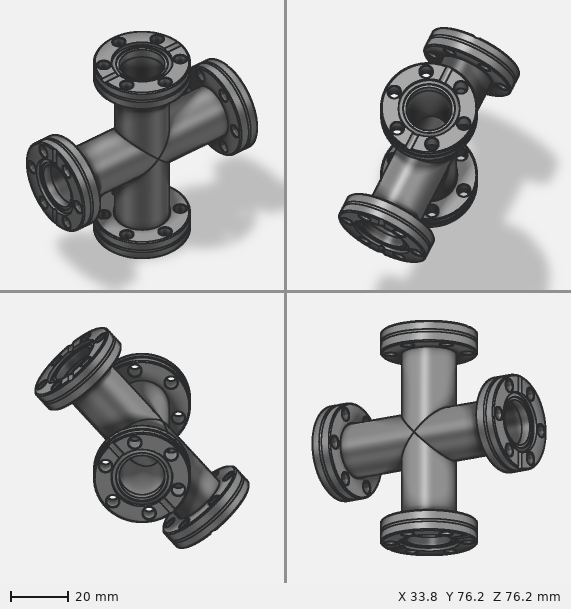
import cadquery as cq

overall_length = 76.2
face_height = overall_length / 2
bore_diameter = 16.0
tube_diameter = 19.1
fixed_tube_end_depth = 4.5
rotatable_tube_end_depth = 4.3

flange_diameter = 33.8
flange_thickness = 7.6
edge_chamfer = 0.45
rim_groove_width = 1.0
rim_groove_depth = 0.2
rim_groove_centre_depth = 3.65

bolt_count = 6
bolt_diameter = 4.4
bolt_circle_radius = 13.5
bolt_chamfer = 0.2

notch_width = 2.3
notch_depth = 0.5
notch_radius = (notch_width**2 / 4 + notch_depth**2) / (2 * notch_depth)

recess_diameter = 21.4
recess_depth = 1.3
knife_diameter = 18.3
knife_depth = 0.7
knife_root_diameter = 18.0
inner_face_depth = 1.15

insert_diameter = 21.1
ring_bore_diameter = 19.2
ring_bore_chamfer = 0.4

flange_back_height = face_height - flange_thickness
fixed_tube_end = face_height - fixed_tube_end_depth
rotatable_tube_end = face_height - rotatable_tube_end_depth


def disc(diameter, bottom, top):
    """Solid cylinder on the Z axis between two heights."""
    return cq.Workplane("XY").workplane(offset=bottom).circle(diameter / 2).extrude(top - bottom)


def revolve_about_z(profile):
    """Turn a closed (radius, height) profile on the XZ plane about the Z axis."""
    return profile.close().revolve(360, (0, 0, 0), (0, 1, 0))


def flange_blank():
    """Flange disc with chamfered edges, rim groove, bolt holes and leak-check notches."""
    blank = disc(flange_diameter, flange_back_height, face_height).edges().chamfer(edge_chamfer)
    return blank.cut(rim_groove()).cut(bolt_holes()).cut(leak_check_notch())


def rim_groove():
    """Shallow round-bottomed groove around the rim."""
    rim_radius = flange_diameter / 2
    centre = face_height - rim_groove_centre_depth
    low = centre - rim_groove_width / 2
    high = centre + rim_groove_width / 2
    profile = (
        cq.Workplane("XZ")
        .moveTo(rim_radius, low)
        .threePointArc((rim_radius - rim_groove_depth, centre), (rim_radius, high))
        .lineTo(rim_radius + rim_groove_depth, high)
        .lineTo(rim_radius + rim_groove_depth, low)
    )
    return revolve_about_z(profile)


def bolt_holes():
    """Cutter for the ring of bolt holes, flared at both ends by their chamfers."""
    radius = bolt_diameter / 2
    flared = radius + bolt_chamfer
    hole = revolve_about_z(
        cq.Workplane("XZ")
        .moveTo(0, flange_back_height)
        .lineTo(flared, flange_back_height)
        .lineTo(radius, flange_back_height + bolt_chamfer)
        .lineTo(radius, face_height - bolt_chamfer)
        .lineTo(flared, face_height)
        .lineTo(0, face_height)
    ).translate((bolt_circle_radius, 0, 0))
    holes = cq.Workplane("XY")
    for index in range(bolt_count):
        holes = holes.add(hole.rotate((0, 0, 0), (0, 0, 1), 360 * index / bolt_count))
    return holes.combine()


def leak_check_notch():
    """Round-bottomed notch along Y, right across the face."""
    axis_height = face_height - notch_depth + notch_radius
    return (
        cq.Workplane("XZ")
        .center(0, axis_height)
        .circle(notch_radius)
        .extrude(flange_diameter / 2, both=True)
    )


def recess_cutter(floor_diameter):
    """Space above the knife edge, its sloped floor ending at the given diameter."""
    profile = (
        cq.Workplane("XZ")
        .moveTo(0, face_height - inner_face_depth)
        .lineTo(knife_root_diameter / 2, face_height - inner_face_depth)
        .lineTo(knife_diameter / 2, face_height - knife_depth)
        .lineTo(floor_diameter / 2, face_height - recess_depth)
        .lineTo(floor_diameter / 2, face_height)
        .lineTo(0, face_height)
    )
    return revolve_about_z(profile)


def fixed_flange():
    """One-piece flange with a socket for the tube in its back."""
    bore = disc(bore_diameter, flange_back_height, face_height)
    socket = disc(tube_diameter, flange_back_height, fixed_tube_end)
    return flange_blank().cut(bore).cut(socket).cut(recess_cutter(recess_diameter))


def lip_bore():
    """Cutter for the bore of the ring lip, flared at the back by its chamfer."""
    radius = ring_bore_diameter / 2
    return revolve_about_z(
        cq.Workplane("XZ")
        .moveTo(0, flange_back_height)
        .lineTo(radius + ring_bore_chamfer, flange_back_height)
        .lineTo(radius, flange_back_height + ring_bore_chamfer)
        .lineTo(radius, rotatable_tube_end)
        .lineTo(0, rotatable_tube_end)
    )


def bolt_ring():
    """Loose ring of a rotatable flange, with a lip behind the insert."""
    insert_seat = disc(recess_diameter, rotatable_tube_end, face_height)
    return flange_blank().cut(insert_seat).cut(lip_bore())


def insert():
    """Knife-edge insert of a rotatable flange, standing on the ring lip and the tube end."""
    body = disc(insert_diameter, rotatable_tube_end, face_height)
    bore = disc(bore_diameter, rotatable_tube_end, face_height)
    return body.cut(bore).cut(recess_cutter(insert_diameter))


def tube(end_height):
    """Tube from the centre of the cross, cut to a double 45 degree mitre."""
    pipe = disc(tube_diameter, 0, end_height).cut(disc(bore_diameter, 0, end_height))
    mitre_wedge = (
        cq.Workplane("YZ")
        .polyline([(0, 0), (end_height, end_height), (-end_height, end_height)])
        .close()
        .extrude(tube_diameter, both=True)
    )
    return pipe.intersect(mitre_wedge)


def turned(body, angle):
    """Solid of an arm body, turned about the X axis."""
    return body.rotate((0, 0, 0), (1, 0, 0), angle).solids().val()


fixed_arm_angles = {"+Z": 0, "+Y": -90}
rotatable_arm_angles = {"-Z": 180, "-Y": 90}

bodies = []
for arm_angle in fixed_arm_angles.values():
    bodies.append(turned(tube(fixed_tube_end), arm_angle))
    bodies.append(turned(fixed_flange(), arm_angle))
for arm_angle in rotatable_arm_angles.values():
    bodies.append(turned(tube(rotatable_tube_end), arm_angle))
    bodies.append(turned(bolt_ring(), arm_angle))
    bodies.append(turned(insert(), arm_angle))

result = cq.Compound.makeCompound(bodies)